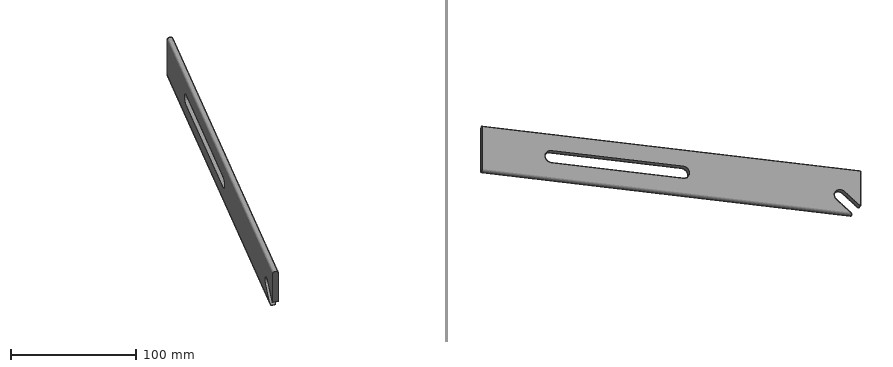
import cadquery as cq

length = 315.0
thickness = 5.0
height = 40.0

slot_width = 10.5
slot_start = 52.3
slot_end = 172.3
slot_height = 20.0

notch_width = 10.0
notch_center_x = 298.0
notch_center_z = 15.8
notch_angle = -40.0
notch_reach = 63.0
tip_radius = 0.5


def bar_with_rounded_edges():
    """Bar whose top and bottom edges are fully rounded across the thickness."""
    section = cq.Workplane("YZ").center(0, height / 2).slot2D(height, thickness, 90)
    return section.extrude(length)


def long_slot():
    """Cutter for the closed slot, passing through the thickness."""
    plane = cq.Workplane("XZ").center((slot_start + slot_end) / 2, slot_height)
    return plane.slot2D(slot_end - slot_start, slot_width).extrude(thickness, both=True)


def hook_notch():
    """Cutter with a round inner end, running down and out past the corner."""
    radius = notch_width / 2
    cutter = (
        cq.Workplane("XZ")
        .moveTo(0, radius)
        .lineTo(notch_reach, radius)
        .lineTo(notch_reach, -radius)
        .lineTo(0, -radius)
        .threePointArc((-radius, 0), (0, radius))
        .close()
        .extrude(thickness, both=True)
    )
    cutter = cutter.rotate((0, 0, 0), (0, 1, 0), -notch_angle)
    return cutter.translate((notch_center_x, 0, notch_center_z))


def notched_plate():
    """Square-edged plate with the notch cut and both of its tips rounded."""
    plate = cq.Workplane("XY").box(length, thickness, height, centered=(False, True, False))
    plate = plate.cut(hook_notch())
    upper_tip = cq.selectors.BoxSelector(
        (length - tip_radius, -thickness, tip_radius),
        (length + tip_radius, thickness, height / 2),
    )
    lower_tip = cq.selectors.BoxSelector(
        (notch_center_x, -thickness, -tip_radius),
        (length, thickness, tip_radius),
    )
    return plate.edges("|Y").edges(upper_tip + lower_tip).fillet(tip_radius)


result = notched_plate().intersect(bar_with_rounded_edges()).cut(long_slot())